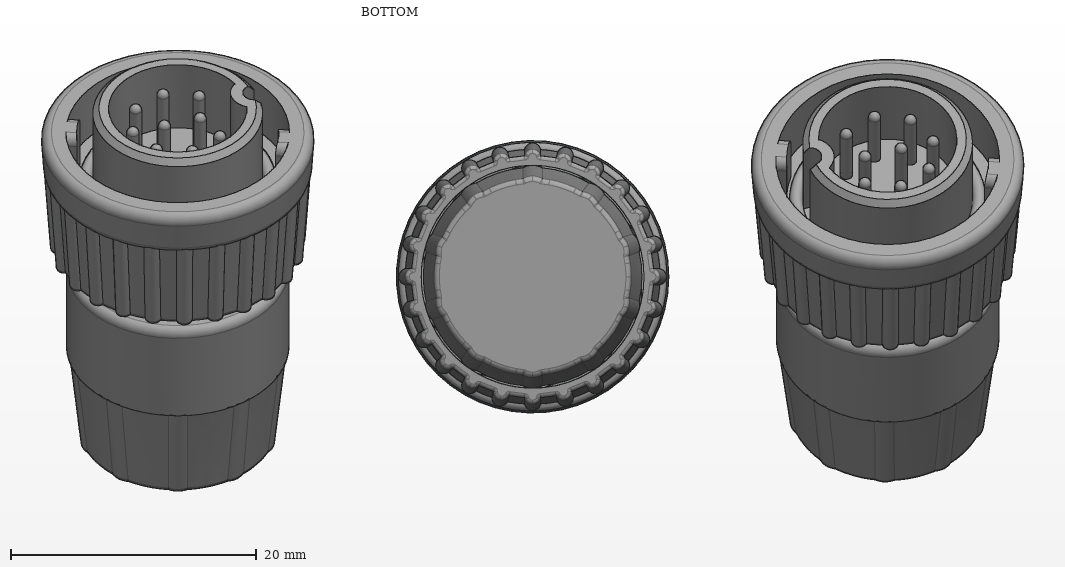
import cadquery as cq
import math

TOTAL_HEIGHT = 33.72
COLLAR_BOTTOM = 8.85
COLLAR_TOP = 17.7
RING_BOTTOM = 19.25
BAND_BOTTOM = 27.45
RING_TOP = 31.22
WELL_FLOOR = 26.2
PIN_FLOOR = 27.1
PIN_TIP = 32.65

NUT_TOP_RADIUS = 8.9
NUT_BOTTOM_RADIUS = 8.0
NUT_FILLET = 0.45
NUT_RIDGE_COUNT = 10
NUT_RIDGE_RADIUS = 1.62
NUT_RIDGE_HEIGHT = 0.17
COLLAR_RADIUS = 9.07
COLLAR_FILLET = 0.75
NECK_RADIUS = 7.7

RING_RADIUS = 11.1
RING_TAPER = math.radians(3.6)
RING_TOP_FILLET = 0.8
BAND_STEP = 0.55
RING_BOTTOM_FILLET = 0.35
WELL_RADIUS = 9.1
GRIP_RIB_COUNT = 24
GRIP_RIB_RADIUS = 0.67
GRIP_RIB_HEIGHT = 0.5

LUG_ANGLES = (67.5, 247.5)
LUG_WIDTH = 2.97
LUG_INNER_RADIUS = 8.23
LUG_FILLET = 0.8
LUG_ROOT = 0.35

TUBE_RADIUS = 6.9
TUBE_BORE_RADIUS = 5.63
TUBE_CHAMFER = 0.5
SEAL_SECTION_RADIUS = 0.55
KEY_CENTER_Y = 6.58
KEY_RADIUS = 1.95
KEY_GROOVE_RADIUS = 0.95
PIN_RADIUS = 0.5
PIN_CIRCLE_RADIUS = 3.85
PIN_ANGLES = (0, 45, 135, 180, 225, 270, 315)
INNER_PIN_Y = (1.92, -1.15)


def cylinder(radius, bottom, top, x=0, y=0):
    return cq.Workplane("XY", origin=(x, y, bottom)).circle(radius).extrude(top - bottom)


def cone(bottom_radius, bottom, top_radius, top):
    outline = [(0, bottom), (bottom_radius, bottom), (top_radius, top), (0, top)]
    return cq.Workplane("XZ").polyline(outline).close().revolve(360, (0, 0, 0), (0, 1, 0))


def ribbed_cone(bottom_radius, bottom, top_radius, top, fillet, count, rib_radius, rib_height):
    """Cone with round ribs lying along its slope and a rounded bottom edge."""
    slope = (top_radius - bottom_radius) / (top - bottom)
    overrun = 2 * rib_radius
    length = math.hypot(1, slope) * (top - bottom + 2 * overrun)
    axis_depth = rib_radius * math.hypot(1, slope) - rib_height
    axis_start = cq.Vector(bottom_radius - axis_depth - slope * overrun, 0, bottom - overrun)
    rod = cq.Workplane(cq.Solid.makeCylinder(rib_radius, length, axis_start, cq.Vector(slope, 0, 1)))
    rib = rod.intersect(cylinder(top_radius + overrun, bottom, top)).val()
    ribs = [
        rib.rotate(cq.Vector(0, 0, 0), cq.Vector(0, 0, 1), 360 * i / count - 90)
        for i in range(count)
    ]
    body = cone(bottom_radius, bottom, top_radius, top).val().fuse(*ribs)
    return cq.Workplane(body).faces("<Z").edges().fillet(fillet)


def back_nut():
    return ribbed_cone(NUT_BOTTOM_RADIUS, 0, NUT_TOP_RADIUS, COLLAR_BOTTOM, NUT_FILLET,
                       NUT_RIDGE_COUNT, NUT_RIDGE_RADIUS, NUT_RIDGE_HEIGHT)


def collar_and_neck():
    collar = cylinder(COLLAR_RADIUS, COLLAR_BOTTOM, COLLAR_TOP)
    collar = collar.faces(">Z").edges().fillet(COLLAR_FILLET)
    return collar.union(cylinder(NECK_RADIUS, COLLAR_BOTTOM, WELL_FLOOR))


def coupling_ring():
    slope = math.tan(RING_TAPER)
    corner_radius = RING_RADIUS + RING_TOP_FILLET * (slope + 1 / math.cos(RING_TAPER) - 1)

    def band_radius(z):
        return corner_radius - slope * (RING_TOP - z)

    band = cone(band_radius(BAND_BOTTOM), BAND_BOTTOM, corner_radius, RING_TOP)
    band = band.faces(">Z").edges().fillet(RING_TOP_FILLET)
    band = band.faces("<Z").edges().fillet(BAND_STEP)
    grip = ribbed_cone(band_radius(RING_BOTTOM) - BAND_STEP, RING_BOTTOM,
                       band_radius(RING_TOP - RING_TOP_FILLET) - BAND_STEP, RING_TOP - RING_TOP_FILLET,
                       RING_BOTTOM_FILLET, GRIP_RIB_COUNT, GRIP_RIB_RADIUS, GRIP_RIB_HEIGHT)
    return band.union(grip).cut(cylinder(WELL_RADIUS, WELL_FLOOR, RING_TOP))


def bayonet_lugs():
    """Lugs on the inner wall of the coupling ring, flush with its top."""
    outer_radius = WELL_RADIUS + LUG_ROOT
    rim = cylinder(outer_radius, WELL_FLOOR, RING_TOP)
    rim = rim.cut(cylinder(LUG_INNER_RADIUS, WELL_FLOOR, RING_TOP))
    lug = (
        cq.Workplane("XY", origin=(0, 0, WELL_FLOOR))
        .box(outer_radius, LUG_WIDTH, RING_TOP - WELL_FLOOR, centered=(False, True, False))
        .faces(">Z").edges("|X").fillet(LUG_FILLET)
        .intersect(rim)
    )
    lugs = cq.Workplane("XY")
    for angle in LUG_ANGLES:
        lugs = lugs.add(lug.rotate((0, 0, 0), (0, 0, 1), angle))
    return lugs


def plug_tube():
    """Tube with a chamfered rim, an inner key and a groove behind the key."""
    outside = cylinder(TUBE_RADIUS, WELL_FLOOR, TOTAL_HEIGHT).faces(">Z").edges().chamfer(TUBE_CHAMFER)
    key = cylinder(KEY_RADIUS, PIN_FLOOR, TOTAL_HEIGHT, y=KEY_CENTER_Y)
    bore = cylinder(TUBE_BORE_RADIUS, PIN_FLOOR, TOTAL_HEIGHT).cut(key)
    groove = cylinder(KEY_GROOVE_RADIUS, WELL_FLOOR, TOTAL_HEIGHT, y=KEY_CENTER_Y)
    return outside.cut(bore).cut(groove)


def sealing_ring():
    """Ring of round section half sunk in the well floor around the tube."""
    center = TUBE_RADIUS + SEAL_SECTION_RADIUS
    return cq.Workplane(
        cq.Solid.makeTorus(center, SEAL_SECTION_RADIUS, cq.Vector(0, 0, WELL_FLOOR), cq.Vector(0, 0, 1))
    )


def pin_positions():
    places = [(0, y) for y in INNER_PIN_Y]
    for angle in PIN_ANGLES:
        a = math.radians(angle)
        places.append((PIN_CIRCLE_RADIUS * math.cos(a), PIN_CIRCLE_RADIUS * math.sin(a)))
    return places


def pins():
    """Contact pins with hemispherical tips."""
    shoulder = PIN_TIP - PIN_RADIUS
    places = pin_positions()
    shafts = cq.Workplane("XY", origin=(0, 0, PIN_FLOOR)).pushPoints(places).circle(PIN_RADIUS)
    shafts = shafts.extrude(shoulder - PIN_FLOOR)
    tips = cq.Workplane("XY", origin=(0, 0, shoulder)).pushPoints(places).sphere(PIN_RADIUS)
    return shafts.union(tips)


result = (
    back_nut()
    .union(collar_and_neck())
    .union(coupling_ring())
    .union(bayonet_lugs())
    .union(sealing_ring())
    .union(plug_tube())
    .union(pins())
    .solids()
)